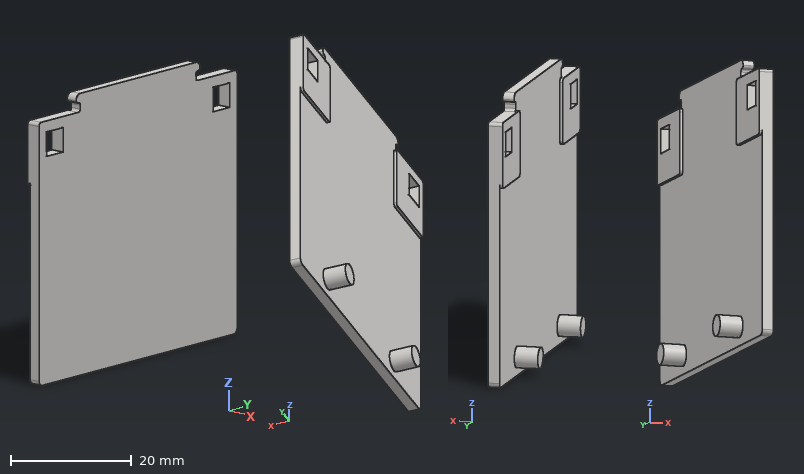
import cadquery as cq

width = 50.0
total_height = 48.0
shoulder_height = 44.85
plate_thickness = 2.0
bottom_radius = 0.9
shoulder_radius = 0.6

tab_half_width = 15.65
neck_half_width = 14.6
lip_height = 1.55
tab_top_radius = 1.05
hook_radius = 0.475

pad_width = 11.25
pad_height = 11.15
pad_rise = 0.5
window_size = 4.15
window_margin = 1.9

pin_diameter = 3.6
pin_length = 4.0
pin_height = 3.2

half_width = width / 2
pin_offset = half_width - pad_width
lip_base = total_height - lip_height


def round_corners(body, y, z, radius):
    """Round the X-direction edges at (+y, z) and (-y, z)."""
    reach = 0.05
    for side in (-1, 1):
        corner = cq.selectors.BoxSelector(
            (-width, side * y - reach, z - reach),
            (width, side * y + reach, z + reach),
        )
        body = body.edges("|X").edges(corner).fillet(radius)
    return body


def make_plate():
    right_side = [
        (half_width, 0),
        (half_width, shoulder_height),
        (neck_half_width, shoulder_height),
        (neck_half_width, lip_base),
        (tab_half_width, lip_base),
        (tab_half_width, total_height),
    ]
    left_side = [(-y, z) for y, z in reversed(right_side)]
    plate = cq.Workplane("YZ").polyline(right_side + left_side).close().extrude(plate_thickness)
    plate = round_corners(plate, half_width, 0, bottom_radius)
    plate = round_corners(plate, half_width, shoulder_height, shoulder_radius)
    plate = round_corners(plate, tab_half_width, total_height, tab_top_radius)
    for y, z in [
        (neck_half_width, shoulder_height),
        (neck_half_width, lip_base),
        (tab_half_width, lip_base),
    ]:
        plate = round_corners(plate, y, z, hook_radius)
    return plate


def make_pad(side):
    return (
        cq.Workplane("YZ")
        .center(side * (half_width - pad_width / 2), shoulder_height - pad_height / 2)
        .rect(pad_width, pad_height)
        .extrude(-pad_rise)
        .edges("|X")
        .fillet(shoulder_radius)
    )


def make_window(side):
    inset = window_margin + window_size / 2
    return (
        cq.Workplane("YZ", origin=(-pad_rise, 0, 0))
        .center(side * (half_width - inset), shoulder_height - inset)
        .rect(window_size, window_size)
        .extrude(pad_rise + plate_thickness)
    )


def make_pin(side):
    return (
        cq.Workplane("YZ")
        .center(side * pin_offset, pin_height)
        .circle(pin_diameter / 2)
        .extrude(-pin_length)
    )


result = make_plate()
for side in (-1, 1):
    result = result.union(make_pad(side)).union(make_pin(side)).cut(make_window(side))